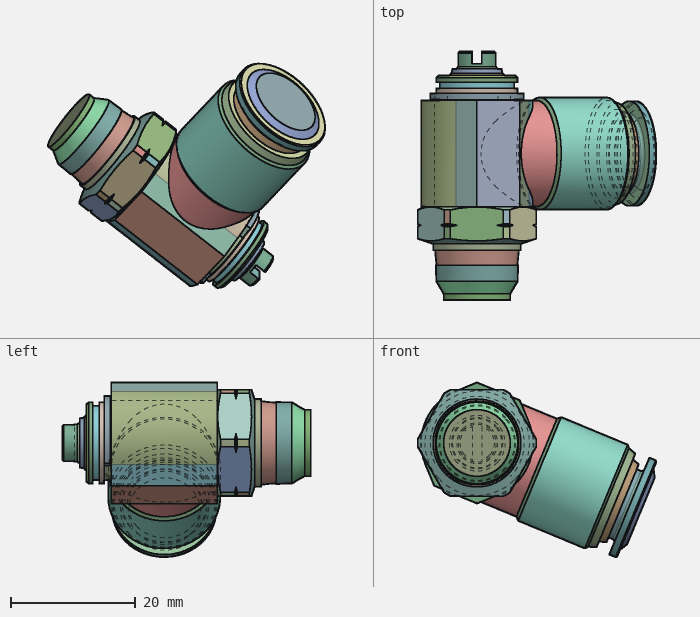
import cadquery as cq
import math


TIP_RADIUS = 5.35
TIP_LENGTH = 1.0
LEAD_END = 3.03
THREAD_FRONT_RADIUS = 6.55
THREAD_BACK_RADIUS = 6.6
THREAD_END = 5.58
RUNOUT_FRONT_RADIUS = 6.5
RUNOUT_BACK_RADIUS = 6.75
RUNOUT_END = 7.95
COLLAR_RADIUS = 7.05

NUT_START = 9.0
NUT_END = 14.98
NUT_APOTHEM = 8.53
NUT_TURN = 30
NUT_CORNER_RADIUS = 9.52
NUT_FRONT_CONE = 0.85
NUT_BACK_CONE = 0.5
NUT_BACK_RADIUS = 8.35
NOTCH_CENTRE = (NUT_START + NUT_END) / 2
NOTCH_BOTTOM_RADIUS = 9.12
NOTCH_WIDTH = 0.45

BODY_APOTHEM = 8.95
BODY_LENGTH = 17.0
BODY_END = NUT_END + BODY_LENGTH
BODY_CENTRE = NUT_END + BODY_LENGTH / 2
HALF_SIDE_ANGLE = 22.5
BODY_CORNER_RADIUS = BODY_APOTHEM / math.cos(math.radians(HALF_SIDE_ANGLE))

CLIP_RADIUS = 7.53
CLIP_GAP = 0.1
CLIP_END = 33.1
CLIP_OPENING_DEPTH = 4.35
CLIP_TURN = 9.4
HUB_RADIUS = 5.98

CAP_RADIUS = 6.55
GROOVE_START = 33.9
GROOVE_END = 34.9
CAP_END = 36.0
CAP_CHAMFER = 0.4
NECK_FLARE_RADIUS = 4.45
NECK_FLARE_END = 36.35
NECK_BOTTOM_RADIUS = 4.1
NECK_TOP_RADIUS = 3.95
NECK_END = 37.05
SCREW_RADIUS = 3.03
SCREW_FOOT_RADIUS = 3.25
SCREW_FOOT_END = 37.4
SCREW_CHAMFER = 0.28
TOTAL_LENGTH = 39.85
SLOT_WIDTH = 1.5
SLOT_DEPTH = 1.95

OUTLET_SLOPE = HALF_SIDE_ANGLE
OUTLET_NECK_RADIUS = BODY_LENGTH / 2
OUTLET_NECK_END = 10.35
OUTLET_SHOULDER = 10.88
OUTLET_RADIUS = 9.0
OUTLET_END = 22.43
COVER_START = 22.83
COVER_BASE_RADIUS = 8.55
COVER_TOP_RADIUS = 8.13
COVER_END = 24.1
RING_BASE_RADIUS = 7.15
RING_TOP_RADIUS = 6.77
RING_END = 25.25
SLEEVE_RADIUS = 5.95
FLANGE_FILLET = 0.48
FLANGE_START = 26.4
FLANGE_RADIUS = 8.4
FLANGE_END = 27.73
FLANGE_CHAMFER = 0.2
NOSE_BASE_RADIUS = 7.05
NOSE_TOP_RADIUS = 5.78
NOSE_END = 28.45


def turned(profile):
    """Turn (radius, y) points around the main axis."""
    points = [(0, profile[0][1])] + profile + [(0, profile[-1][1])]
    return cq.Workplane("XY").polyline(points).close().revolve(360, (0, 0, 0), (0, 1, 0))


def octagon_point(radius, half_sides):
    """Point at a number of half-side angles from +X, counter-clockwise as X and Z are seen from -Y."""
    angle = math.radians(half_sides * HALF_SIDE_ANGLE)
    return (radius * math.cos(angle), radius * math.sin(angle))


def corner(half_sides):
    return octagon_point(BODY_CORNER_RADIUS, half_sides)


def tangent(half_sides):
    return octagon_point(BODY_APOTHEM, half_sides)


def make_stud():
    return turned([
        (TIP_RADIUS, 0),
        (TIP_RADIUS, TIP_LENGTH),
        (THREAD_FRONT_RADIUS, LEAD_END),
        (THREAD_BACK_RADIUS, THREAD_END),
        (RUNOUT_FRONT_RADIUS, THREAD_END),
        (RUNOUT_BACK_RADIUS, RUNOUT_END),
        (COLLAR_RADIUS, RUNOUT_END),
        (COLLAR_RADIUS, NUT_START),
    ])


def make_nut():
    """Hexagon with coned faces, trimmed corners and a V notch around the corners."""
    hexagon = (
        cq.Workplane("XZ", origin=(0, NUT_START, 0))
        .polygon(6, 2 * NUT_APOTHEM, circumscribed=True)
        .extrude(NUT_START - NUT_END)
        .rotate((0, 0, 0), (0, 1, 0), NUT_TURN)
    )
    envelope = turned([
        (COLLAR_RADIUS, NUT_START),
        (NUT_CORNER_RADIUS, NUT_START + NUT_FRONT_CONE),
        (NUT_CORNER_RADIUS, NOTCH_CENTRE - NOTCH_WIDTH / 2),
        (NOTCH_BOTTOM_RADIUS, NOTCH_CENTRE),
        (NUT_CORNER_RADIUS, NOTCH_CENTRE + NOTCH_WIDTH / 2),
        (NUT_CORNER_RADIUS, NUT_END - NUT_BACK_CONE),
        (NUT_BACK_RADIUS, NUT_END),
    ])
    return hexagon.intersect(envelope)


def make_body():
    """Octagon with four sharp corners; its sides run tangent into two quarter-circle rounds."""
    return (
        cq.Workplane("XZ", origin=(0, NUT_END, 0))
        .moveTo(*tangent(5))
        .lineTo(*corner(4))
        .lineTo(*corner(2))
        .lineTo(*tangent(1))
        .threePointArc(tangent(-1), tangent(-3))
        .lineTo(*corner(-4))
        .lineTo(*corner(-6))
        .lineTo(*tangent(-7))
        .threePointArc(tangent(7), tangent(5))
        .close()
        .extrude(-BODY_LENGTH)
    )


def make_clip():
    """Disc cut off straight on its open side, turned slightly about the main axis."""
    clip_start = BODY_END + CLIP_GAP
    disc = cq.Workplane("XZ", origin=(0, clip_start, 0)).circle(CLIP_RADIUS).extrude(clip_start - CLIP_END)
    opening = (
        cq.Workplane("XY", origin=(0, clip_start, -CLIP_OPENING_DEPTH))
        .rect(4 * CLIP_RADIUS, 4 * CLIP_RADIUS)
        .extrude(-CLIP_RADIUS)
    )
    return disc.cut(opening).rotate((0, 0, 0), (0, 1, 0), CLIP_TURN)


def make_cap_and_screw():
    turned_part = turned([
        (HUB_RADIUS, BODY_END),
        (HUB_RADIUS, CLIP_END),
        (CAP_RADIUS, CLIP_END),
        (CAP_RADIUS, GROOVE_START),
        (HUB_RADIUS, GROOVE_START),
        (HUB_RADIUS, GROOVE_END),
        (CAP_RADIUS, GROOVE_END),
        (CAP_RADIUS, CAP_END - CAP_CHAMFER),
        (CAP_RADIUS - CAP_CHAMFER, CAP_END),
        (NECK_FLARE_RADIUS, CAP_END),
        (NECK_BOTTOM_RADIUS, NECK_FLARE_END),
        (NECK_TOP_RADIUS, NECK_END),
        (SCREW_FOOT_RADIUS, NECK_END),
        (SCREW_RADIUS, SCREW_FOOT_END),
        (SCREW_RADIUS, TOTAL_LENGTH - SCREW_CHAMFER),
        (SCREW_RADIUS - SCREW_CHAMFER, TOTAL_LENGTH),
    ])
    slot = cq.Workplane("XY").box(SLOT_WIDTH, 2 * SLOT_DEPTH, 3 * SCREW_RADIUS)
    return turned_part.cut(slot.translate((0, TOTAL_LENGTH, 0)))


def make_outlet():
    """Stepped outlet turned around X, then sloped down and moved to the middle of the body."""
    fillet_mid = FLANGE_FILLET * math.sqrt(0.5)
    fillet_start = FLANGE_START - FLANGE_FILLET
    fillet_top = SLEEVE_RADIUS + FLANGE_FILLET
    outlet = (
        cq.Workplane("XY")
        .lineTo(0, OUTLET_NECK_RADIUS)
        .lineTo(OUTLET_NECK_END, OUTLET_NECK_RADIUS)
        .lineTo(OUTLET_SHOULDER, OUTLET_RADIUS)
        .lineTo(OUTLET_END, OUTLET_RADIUS)
        .lineTo(COVER_START, COVER_BASE_RADIUS)
        .lineTo(COVER_END, COVER_TOP_RADIUS)
        .lineTo(COVER_END, RING_BASE_RADIUS)
        .lineTo(RING_END, RING_TOP_RADIUS)
        .lineTo(RING_END, SLEEVE_RADIUS)
        .lineTo(fillet_start, SLEEVE_RADIUS)
        .threePointArc((fillet_start + fillet_mid, fillet_top - fillet_mid), (FLANGE_START, fillet_top))
        .lineTo(FLANGE_START, FLANGE_RADIUS)
        .lineTo(FLANGE_END - FLANGE_CHAMFER, FLANGE_RADIUS)
        .lineTo(FLANGE_END, FLANGE_RADIUS - FLANGE_CHAMFER)
        .lineTo(FLANGE_END, NOSE_BASE_RADIUS)
        .lineTo(NOSE_END, NOSE_TOP_RADIUS)
        .lineTo(NOSE_END, 0)
        .close()
        .revolve(360, (0, 0, 0), (1, 0, 0))
    )
    return outlet.rotate((0, 0, 0), (0, 1, 0), OUTLET_SLOPE).translate((0, BODY_CENTRE, 0))


result = (
    make_body()
    .union(make_outlet())
    .union(make_nut())
    .union(make_stud())
    .union(make_clip())
    .union(make_cap_and_screw())
)